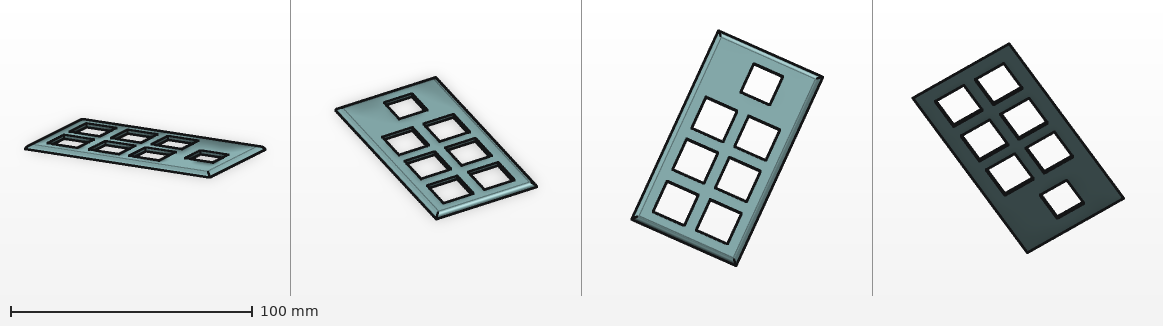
import cadquery as cq
import math

length = 87.25
width = 47.5
thickness = 1.8
edge_radius = 2.5

arc_centre_z = thickness - edge_radius
rim_inset = math.sqrt(edge_radius**2 - arc_centre_z**2)

key_size = 14.2
wide_key_length = 14.4
side_window_size = 13.2

windows = [
    (-37.23, 2.69, key_size, key_size),
    (-17.71, 2.63, key_size, key_size),
    (1.41, 2.62, wide_key_length, key_size),
    (-36.95, -16.76, key_size, key_size),
    (-17.48, -16.62, key_size, key_size),
    (1.64, -16.73, key_size, key_size),
    (23.56, -8.62, side_window_size, side_window_size),
]


def rounded_bar(plane, span, depth):
    """Bar with a flat base and arcs along its two long top edges, centred on the plane."""
    base_half = span / 2
    top_half = base_half - rim_inset
    base_angle = math.asin(-arc_centre_z / edge_radius)
    middle_angle = (base_angle + math.pi / 2) / 2
    middle_half = top_half + edge_radius * math.cos(middle_angle)
    middle_z = arc_centre_z + edge_radius * math.sin(middle_angle)
    return (
        cq.Workplane(plane)
        .moveTo(-base_half, 0)
        .threePointArc((-middle_half, middle_z), (-top_half, thickness))
        .lineTo(top_half, thickness)
        .threePointArc((middle_half, middle_z), (base_half, 0))
        .close()
        .extrude(depth / 2, both=True)
    )


def window_cutter(left, bottom, size_x, size_y):
    """Box through the full plate thickness with its lower-left corner at (left, bottom)."""
    box = cq.Workplane("XY").box(size_x, size_y, thickness, centered=False)
    return box.translate((left, bottom, 0))


plate = rounded_bar("XZ", length, width).intersect(rounded_bar("YZ", width, length))
for window in windows:
    plate = plate.cut(window_cutter(*window))

result = plate